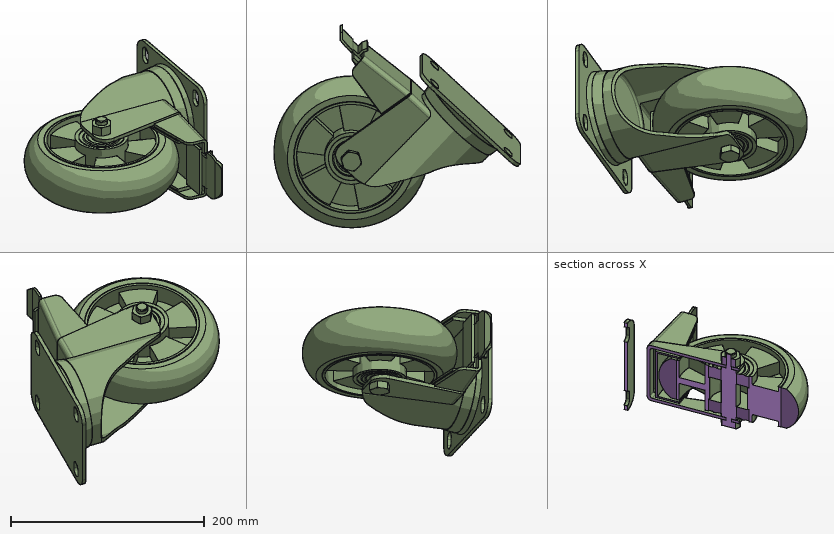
import cadquery as cq
import math


plate_length = 140.0
plate_width = 110.0
plate_thickness = 4.0
plate_corner_radius = 15.0
slot_pitch_x = 105.0
slot_pitch_z = 80.0
slot_width = 11.0
slot_length = 18.0
race_top_diameter = 100.0
race_bottom_diameter = 95.0
race_bottom_depth = 9.5

collar_top_diameter = 98.0
collar_bottom_diameter = 94.5
collar_bottom_depth = 20.7
cup_radius = 46.5
fork_wall = 4.0
fork_inner_half_width = 31.0
fork_half_width = fork_inner_half_width + fork_wall
web_top_depth = 25.8
web_bottom_depth = web_top_depth + fork_wall
fork_bend_radius = 5.5
cup_floor_depth = 26.3
cup_floor_radius = 2.5
fork_bottom_depth = 130.8
fork_front_depth = 30.6
front_curve_middle = (-21.4, -49.0)
front_curve_end = (-7.3, -72.4)
front_edge_angle = math.radians(60)
front_corner_radius = 27.0
rear_edge_top_x = 61.1
rear_edge_slope = 0.178
rear_corner_radius = 13.5

axle_x = 58.3
axle_depth = 119.0
tread_radius = 80.0
tire_side_radius = 66.0
tire_half_width = 25.0
core_diameter = 119.0
core_edge_chamfer = 0.5
rim_inner_diameter = 113.0
hub_face_diameter = 55.0
hub_root_diameter = 56.0
hub_half_width = 29.0
spoke_count = 5
spoke_face_half_height = 19.0
pocket_floor_half_height = 4.0
spoke_angle = 180.0 / spoke_count
first_spoke_angle = -90.0
spoke_edge_offset = 2.6
hub_bore_diameter = 44.0

bearing_bore = 20.0
bearing_diameter = 47.0
bearing_width = 14.0
bearing_recess = 1.0
bearing_outer_face = hub_half_width - bearing_recess
bearing_inner_face = bearing_outer_face - bearing_width
seal_base_diameters = (28.08, 38.92)
seal_face_diameters = (30.79, 36.21)
seal_height = 0.8

bolt_diameter = 12.0
bolt_tip_diameter = 10.11
bolt_tip_z = 50.0
hex_across_flats = 19.0
hex_chamfer_diameter = 20.0
hex_chamfer_height = 0.5
nut_height = 10.0
head_height = 7.5

cover_half_width = 33.5
cover_wall = 3.0
cover_gap = 1.2
cover_rear_x = 124.1
cover_rear_top_depth = 30.7
cover_rear_bottom = (122.8, -52.9)
cover_front_bottom_depth = 62.8
cover_bend_radius = 5.2
cover_corner_radius = 8.0

cover_inner_half_width = cover_half_width - cover_wall
lever_half_width = 29.3
lever_wall = 2.5
lever_front_x = 45.0
lever_rear_x = 107.3
rib_thickness = 4.4
lever_top_depth = 35.6
stop_plate_top_depth = 40.2
stop_plate_thickness = 3.0
stop_plate_rear_x = 129.7

strip_thickness = 2.6
strip_depth = lever_top_depth + strip_thickness / 2
pedal_neck_half_width = 18.0
pedal_half_width = 25.0
pedal_neck_end_x = 135.0
pedal_corner_radius = 14.0
pedal_lip_start = (151.4, -36.0)
pedal_lip_angle = math.radians(45)
pedal_end_x = 156.95
release_tab_points = [(126.5, -strip_depth), (126.5, -30.3), (124.2, -25.6)]


def below(depth):
    """Workplane square to the swivel axis at a depth, extruding downwards."""
    return cq.Workplane("XZ", origin=(0, -depth, 0))


def along_axle(z):
    """Workplane square to the axle, centred on it."""
    return cq.Workplane("XY", origin=(axle_x, -axle_depth, z))


def swivel_cone(top_depth, top_diameter, bottom_depth, bottom_diameter):
    """Solid cone about the swivel axis."""
    return (
        cq.Workplane("XY")
        .polyline(
            [
                (0, -top_depth),
                (top_diameter / 2, -top_depth),
                (bottom_diameter / 2, -bottom_depth),
                (0, -bottom_depth),
            ]
        )
        .close()
        .revolve(360, (0, 0, 0), (0, 1, 0))
    )


def axle_revolve(half_profile):
    """Revolve a (radius, z) outline about the axle."""
    return (
        cq.Workplane("XZ", origin=(axle_x, -axle_depth, 0))
        .polyline(half_profile)
        .close()
        .revolve(360, (0, 0, 0), (0, 1, 0))
    )


def make_plate():
    plate = below(0).rect(plate_length, plate_width).extrude(plate_thickness)
    plate = plate.edges("|Y").fillet(plate_corner_radius)
    slots = (
        below(0)
        .rect(slot_pitch_x, slot_pitch_z, forConstruction=True)
        .vertices()
        .slot2D(slot_length, slot_width, 90)
        .extrude(plate_thickness)
    )
    race = swivel_cone(plate_thickness, race_top_diameter, race_bottom_depth, race_bottom_diameter)
    return plate.cut(slots).union(race)


def rear_edge_x(depth):
    """X of the sloping rear edge of the fork cheeks."""
    return rear_edge_top_x + rear_edge_slope * (depth - web_top_depth)


def fork_side_outline():
    """Side outline of the fork as a prism along Z, wide enough to hold the cup."""
    front_x, front_y = front_curve_end
    corner_x = front_x + (front_y + fork_bottom_depth) / math.tan(front_edge_angle)
    outline = (
        cq.Workplane("XY")
        .moveTo(-cup_radius, -collar_bottom_depth)
        .lineTo(-cup_radius, -fork_front_depth)
        .threePointArc(front_curve_middle, front_curve_end)
        .lineTo(corner_x, -fork_bottom_depth)
        .lineTo(rear_edge_x(fork_bottom_depth), -fork_bottom_depth)
        .lineTo(rear_edge_x(collar_bottom_depth), -collar_bottom_depth)
        .close()
        .extrude(cup_radius, both=True)
    )
    bottom_edges = outline.faces("<Y").edges("|Z")
    outline = bottom_edges.edges("<X").fillet(front_corner_radius)
    return outline.faces("<Y").edges("|Z").edges(">X").fillet(rear_corner_radius)


def cheek_block(top_depth, half_width, bend_radius):
    """Block between two cheeks, its upper edges rounded like the sheet bends."""
    length = 2 * axle_x
    block = (
        below(top_depth)
        .center(length / 2, 0)
        .rect(length, 2 * half_width)
        .extrude(fork_bottom_depth - top_depth)
    )
    return block.faces(">Y").edges("|X").fillet(bend_radius)


def make_fork():
    cup = below(collar_bottom_depth).circle(cup_radius).extrude(fork_bottom_depth - collar_bottom_depth)
    outside = cup.union(cheek_block(web_top_depth, fork_half_width, fork_bend_radius))
    cavity = (
        below(cup_floor_depth)
        .circle(cup_radius - fork_wall)
        .extrude(fork_bottom_depth - cup_floor_depth)
        .faces(">Y")
        .edges()
        .fillet(cup_floor_radius)
        .union(cheek_block(web_bottom_depth, fork_inner_half_width, cup_floor_radius))
    )
    collar = swivel_cone(
        race_bottom_depth, collar_top_diameter, collar_bottom_depth, collar_bottom_diameter
    )
    bolt_hole = along_axle(0).circle(bolt_diameter / 2).extrude(fork_half_width, both=True)
    return outside.cut(cavity).intersect(fork_side_outline()).cut(bolt_hole).union(collar)


def make_tire():
    bore_radius = core_diameter / 2
    return (
        cq.Workplane("XZ", origin=(axle_x, -axle_depth, 0))
        .moveTo(bore_radius, -tire_half_width)
        .lineTo(tire_side_radius, -tire_half_width)
        .threePointArc((tread_radius, 0), (tire_side_radius, tire_half_width))
        .lineTo(bore_radius, tire_half_width)
        .close()
        .revolve(360, (0, 0, 0), (0, 1, 0))
    )


def spoke_sector(angle):
    """Wedge of one raised spoke, its straight edges moved outwards from the axle."""
    half_angle = math.radians(spoke_angle / 2)
    apex = -spoke_edge_offset / math.sin(half_angle)
    reach = core_diameter
    half_chord = reach * math.tan(half_angle)
    return (
        cq.Workplane("XY")
        .polyline([(apex, 0), (apex + reach, -half_chord), (apex + reach, half_chord)])
        .close()
        .extrude(spoke_face_half_height, both=True)
        .rotate((0, 0, 0), (0, 0, 1), angle)
        .translate((axle_x, -axle_depth, 0))
    )


def make_core():
    rim_radius = core_diameter / 2
    chamfer_radius = rim_radius - core_edge_chamfer
    chamfer_z = tire_half_width - core_edge_chamfer
    rim = axle_revolve(
        [
            (rim_inner_diameter / 2, -tire_half_width),
            (chamfer_radius, -tire_half_width),
            (rim_radius, -chamfer_z),
            (rim_radius, chamfer_z),
            (chamfer_radius, tire_half_width),
            (rim_inner_diameter / 2, tire_half_width),
        ]
    )
    hub = axle_revolve(
        [
            (0, -hub_half_width),
            (hub_face_diameter / 2, -hub_half_width),
            (hub_root_diameter / 2, 0),
            (hub_face_diameter / 2, hub_half_width),
            (0, hub_half_width),
        ]
    )
    floor = along_axle(0).circle(rim_inner_diameter / 2).extrude(pocket_floor_half_height, both=True)
    disc = along_axle(0).circle(rim_inner_diameter / 2).extrude(spoke_face_half_height, both=True)
    core = rim.union(hub).union(floor)
    for index in range(spoke_count):
        sector = spoke_sector(first_spoke_angle + index * 360.0 / spoke_count)
        core = core.union(sector.intersect(disc))
    bore = along_axle(0).circle(hub_bore_diameter / 2).extrude(hub_half_width, both=True)
    seat_depth = hub_half_width - bearing_inner_face
    core = core.cut(bore)
    for start in (bearing_inner_face, -hub_half_width):
        core = core.cut(along_axle(start).circle(bearing_diameter / 2).extrude(seat_depth))
    return core


def make_bearing(side):
    """Ball bearing with a raised seal ring; side is +1 or -1 along Z."""
    seal_z = bearing_outer_face + seal_height
    profile = [
        (bearing_bore / 2, bearing_inner_face),
        (bearing_diameter / 2, bearing_inner_face),
        (bearing_diameter / 2, bearing_outer_face),
        (seal_base_diameters[1] / 2, bearing_outer_face),
        (seal_face_diameters[1] / 2, seal_z),
        (seal_face_diameters[0] / 2, seal_z),
        (seal_base_diameters[0] / 2, bearing_outer_face),
        (bearing_bore / 2, bearing_outer_face),
    ]
    return axle_revolve([(radius, side * z) for radius, z in profile])


def hexagon(start_z, height):
    """Hexagon with chamfered corners, two of its flats facing along X."""
    corner_diameter = hex_across_flats / math.cos(math.radians(30))
    end_z = start_z + height
    blank = axle_revolve(
        [
            (0, start_z),
            (hex_chamfer_diameter / 2, start_z),
            (corner_diameter / 2, start_z + hex_chamfer_height),
            (corner_diameter / 2, end_z - hex_chamfer_height),
            (hex_chamfer_diameter / 2, end_z),
            (0, end_z),
        ]
    )
    prism = (
        along_axle(start_z)
        .transformed(rotate=(0, 0, 90))
        .polygon(6, corner_diameter)
        .extrude(height)
    )
    return prism.intersect(blank)


def make_bolt():
    """Axle bolt: hexagon head, thick shank between the cheeks and a plain tip."""
    head_z = -fork_half_width - head_height
    tip_chamfer = (bolt_diameter - bolt_tip_diameter) / 2
    stem = (
        along_axle(-fork_half_width)
        .circle(bolt_diameter / 2)
        .extrude(bolt_tip_z + fork_half_width)
        .faces(">Z")
        .chamfer(tip_chamfer)
    )
    shank = along_axle(0).circle(bearing_bore / 2).extrude(fork_inner_half_width, both=True)
    return hexagon(head_z, head_height).union(stem).union(shank)


def make_nut():
    hole = along_axle(fork_half_width).circle(bolt_diameter / 2).extrude(nut_height)
    return hexagon(fork_half_width, nut_height).cut(hole)


def cover_bottom_front():
    """Front lower corner of the cover's side outline."""
    return (rear_edge_x(cover_front_bottom_depth) + cover_gap, -cover_front_bottom_depth)


def make_cover():
    """Inverted channel that continues the fork web to the rear."""
    front_top = (rear_edge_x(web_top_depth) + cover_gap, -web_top_depth)
    rear_top = (cover_rear_x, -cover_rear_top_depth)
    shell = (
        cq.Workplane("XY")
        .polyline([front_top, rear_top, cover_rear_bottom, cover_bottom_front()])
        .close()
        .extrude(cover_half_width, both=True)
    )
    rear_edge = cq.selectors.NearestToPointSelector((*cover_rear_bottom, 0))
    shell = shell.edges("|Z").edges(rear_edge).fillet(cover_corner_radius)
    shell = shell.faces(">Y").edges("not |Z").fillet(cover_bend_radius)
    slope = (rear_top[1] - front_top[1]) / (rear_top[0] - front_top[0])
    front_x = axle_x
    rear_x = pedal_end_x
    floor_y = -fork_bottom_depth
    cavity = (
        cq.Workplane("XY")
        .polyline(
            [
                (front_x, front_top[1] - cover_wall + slope * (front_x - front_top[0])),
                (rear_x, front_top[1] - cover_wall + slope * (rear_x - front_top[0])),
                (rear_x, floor_y),
                (front_x, floor_y),
            ]
        )
        .close()
        .extrude(cover_inner_half_width, both=True)
    )
    cavity = cavity.faces(">Y").edges("not |Z").fillet(cover_bend_radius - cover_wall)
    return shell.cut(cavity)


def strip_outline(points, thickness):
    """Outline of a bent strip with mitred bends about its centre line."""
    half = thickness / 2
    left = []
    right = []
    headings = [math.atan2(b[1] - a[1], b[0] - a[0]) for a, b in zip(points, points[1:])]
    before = headings[:1] + headings
    after = headings + headings[-1:]
    for (x, y), first, second in zip(points, before, after):
        normal = (first + second) / 2 + math.pi / 2
        reach = half / math.cos((second - first) / 2)
        left.append((x + reach * math.cos(normal), y + reach * math.sin(normal)))
        right.append((x - reach * math.cos(normal), y - reach * math.sin(normal)))
    return left + right[::-1]


def bent_strip(points, half_width):
    """Sheet strip along a centre line, symmetrical about Z = 0."""
    outline = strip_outline(points, strip_thickness)
    return cq.Workplane("XY").polyline(outline).close().extrude(half_width, both=True)


def plate_box(x_range, top_depth, thickness, half_width):
    """Flat sheet square to the swivel axis, symmetrical about Z = 0."""
    length = x_range[1] - x_range[0]
    return (
        below(top_depth)
        .center((x_range[0] + x_range[1]) / 2, 0)
        .rect(length, 2 * half_width)
        .extrude(thickness)
    )


def side_plates(outline, inner_z, outer_z):
    """Pair of plates with the same side outline, mirrored about Z = 0."""
    pair = cq.Workplane("XY")
    for start in (inner_z, -outer_z):
        wall = cq.Workplane("XY", origin=(0, 0, start)).polyline(outline).close()
        pair = pair.add(wall.extrude(outer_z - inner_z))
    return pair.combine()


def make_lever():
    """Lever channel with its web, the wheel stop plate and ribs that reach the cover."""
    bottom_x, bottom_y = cover_bottom_front()
    bottom_slope = (cover_rear_bottom[1] - bottom_y) / (cover_rear_bottom[0] - bottom_x)
    rib_front_x = lever_rear_x - rib_thickness
    lever_rear_y = bottom_y + bottom_slope * (lever_rear_x - bottom_x)
    flange_outline = [
        (lever_front_x, -lever_top_depth),
        (lever_rear_x, -lever_top_depth),
        (lever_rear_x, lever_rear_y),
        (bottom_x, bottom_y),
        (lever_front_x, bottom_y),
    ]
    rib_outline = [
        (rib_front_x, -lever_top_depth),
        (lever_rear_x, -lever_top_depth),
        (lever_rear_x, lever_rear_y),
        (rib_front_x, lever_rear_y),
    ]
    lever_inner_half_width = lever_half_width - lever_wall
    web_range = (lever_front_x, cover_rear_x - lever_wall)
    stop_range = (rib_front_x, stop_plate_rear_x)
    web = plate_box(web_range, lever_top_depth, strip_thickness, lever_half_width)
    flanges = side_plates(flange_outline, lever_inner_half_width, lever_half_width)
    ribs = side_plates(rib_outline, lever_inner_half_width, cover_inner_half_width)
    stop = plate_box(stop_range, stop_plate_top_depth, stop_plate_thickness, lever_inner_half_width)
    return web.union(flanges).union(ribs).union(stop)


def make_pedal():
    """Foot pedal: narrow neck, then a wide rounded blade with a lip bent upwards."""
    tip_x = pedal_end_x - strip_thickness / 2 * math.sin(pedal_lip_angle)
    tip_y = pedal_lip_start[1] + (tip_x - pedal_lip_start[0]) * math.tan(pedal_lip_angle)
    points = [
        (lever_rear_x, -strip_depth),
        (pedal_neck_end_x, -strip_depth),
        pedal_lip_start,
        (tip_x, tip_y),
    ]
    height = axle_depth
    blade = plate_box((pedal_neck_end_x, pedal_end_x), 0, height, pedal_half_width)
    blade = blade.faces(">X").edges("|Y").fillet(pedal_corner_radius)
    neck = plate_box((lever_rear_x, pedal_neck_end_x), 0, height, pedal_neck_half_width)
    plan = blade.union(neck)
    return bent_strip(points, pedal_half_width).intersect(plan)


def make_brake():
    """Brake: cover, lever, pedal and release tab as one welded body."""
    tab = bent_strip(release_tab_points, pedal_neck_half_width)
    return make_cover().union(make_lever()).union(make_pedal()).union(tab)


plate = make_plate()
fork = make_fork()
tire = make_tire()
core = make_core()
bearings = [make_bearing(side) for side in (1, -1)]
bolt = make_bolt()
nut = make_nut()
brake = make_brake()

result = cq.Compound.makeCompound(
    [
        plate.val(),
        fork.val(),
        tire.val(),
        core.val(),
        *[bearing.val() for bearing in bearings],
        bolt.val(),
        nut.val(),
        brake.val(),
    ]
)